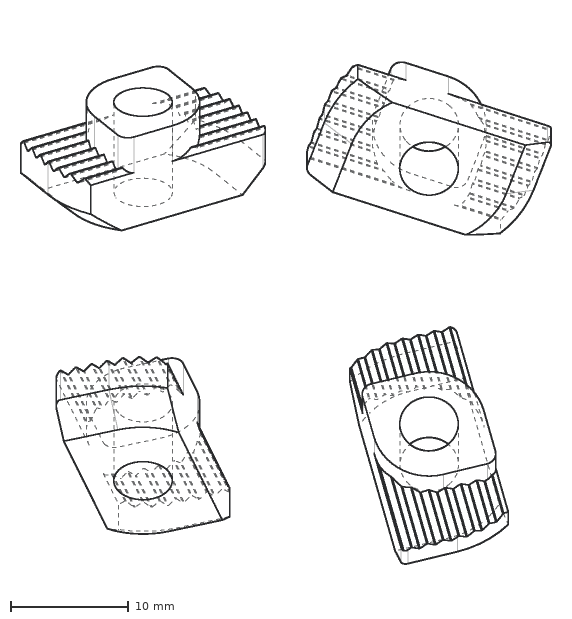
import cadquery as cq
import math

length = 19.0
width = 9.7
height = 8.8
hole_diameter = 5.0

base_corner_radius = 0.5
bevel_size = 2.49

boss_corner_radius = 1.0

tooth_pitch = 1.395
tooth_flat = 0.1
peak_height = 5.8
center_peak_x = 0.15
tooth_depth = (tooth_pitch - 2 * tooth_flat) / 2
valley_height = peak_height - tooth_depth

half_length = length / 2
half_width = width / 2
overlap = 0.19


def make_base_half():
    """Half of the base at +Y: square end at +X, round end at -X."""
    square_side = (
        cq.Workplane("XY")
        .box(half_width, half_length, peak_height, centered=False)
        .edges("|Z and >X and >Y").fillet(base_corner_radius)
    )
    bevel = (
        cq.Workplane("YZ")
        .moveTo(half_length - bevel_size, 0)
        .lineTo(half_length, 0)
        .lineTo(half_length, bevel_size)
        .close()
        .extrude(half_width)
    )
    round_side = (
        cq.Workplane("XY").circle(half_length).extrude(peak_height)
        .faces("<Z").chamfer(bevel_size)
    )
    round_limit = (
        cq.Workplane("XY", origin=(-half_width, 0, 0))
        .box(half_width, half_length, peak_height, centered=False)
    )
    return square_side.cut(bevel).union(round_side.intersect(round_limit))


def rotate_half_turn(solid):
    return solid.rotate((0, 0, 0), (0, 0, 1), 180)


def make_tooth_groove(valley_x):
    """Trapezoidal cutter for one valley, flush with the tooth peaks."""
    half_bottom = tooth_flat / 2
    half_top = half_bottom + tooth_depth
    return (
        cq.Workplane("XZ", origin=(valley_x, half_length + overlap, 0))
        .moveTo(-half_bottom, valley_height)
        .lineTo(half_bottom, valley_height)
        .lineTo(half_top, peak_height)
        .lineTo(half_top, peak_height + overlap)
        .lineTo(-half_top, peak_height + overlap)
        .lineTo(-half_top, peak_height)
        .close()
        .extrude(length + 2 * overlap)
    )


def make_boss():
    """Square boss with large and small rounds on alternate corners."""
    round_mid = half_width * math.sqrt(0.5)
    small_inset = half_width - boss_corner_radius
    small_mid = small_inset + boss_corner_radius * math.sqrt(0.5)
    return (
        cq.Workplane("XY")
        .moveTo(0, half_width)
        .threePointArc((round_mid, round_mid), (half_width, 0))
        .lineTo(half_width, -small_inset)
        .threePointArc((small_mid, -small_mid), (small_inset, -half_width))
        .lineTo(0, -half_width)
        .threePointArc((-round_mid, -round_mid), (-half_width, 0))
        .lineTo(-half_width, small_inset)
        .threePointArc((-small_mid, small_mid), (-small_inset, half_width))
        .close()
        .extrude(height)
    )


base_half = make_base_half()
base = base_half.union(rotate_half_turn(base_half))

valleys_per_side = math.ceil(half_width / tooth_pitch)
for index in range(-valleys_per_side, valleys_per_side):
    base = base.cut(make_tooth_groove(center_peak_x + (index + 0.5) * tooth_pitch))

hole = cq.Workplane("XY").circle(hole_diameter / 2).extrude(height)
result = base.union(make_boss()).cut(hole)